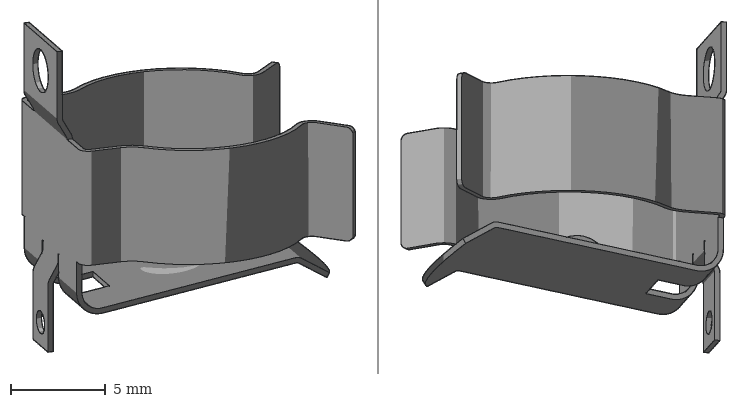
import cadquery as cq
import math

sheet = 0.3
sheet_middle = sheet / 2

band_height = 6.35
band_half_width = 4.8
leg_x = band_half_width - sheet_middle
plate_corner_radius = 0.4
shoulder_radius = 1.85
arm_radius = 6.15
arm_center_x = 0.565
arm_center_y = 7.57
neck_x = 4.17
neck_radius = 0.72
flare_heading = 45
flare_length = 2.13
flare_corner_radius = 0.4

tab_bend_angle = 30
tab_bend_radius = 0.45
tab_slant_length = 0.88
hole_cut_depth = 2

upper_tab_width = 5.08
upper_tab_top = 11.3
upper_hole_diameter = 2.34
upper_hole_z = 9.44

lower_tab_width = 2.3
lower_tab_root = -0.46
lower_tab_root_length = 0.46
lower_tab_bottom = -5.87
lower_hole_diameter = 1.24
lower_hole_z = -4.56
slot_width = 2.5
slot_end_y = 2.85

tongue_width = 8.0
tongue_drop = 1.74
tongue_heel_radius = 1.15
tongue_rise_angle = 8
tongue_length = 10.94
flap_bend_radius = 0.45
flap_fall_angle = 32
flap_length = 2.77
flap_end_radius = 9.0

dome_radius = 1.7
dome_base_radius = 2.05
dome_distance = 5.55


def polar(length, angle):
    return length * math.cos(math.radians(angle)), length * math.sin(math.radians(angle))


def ahead(station, length):
    """Station reached by going straight on; a station is (x, y, heading in degrees)."""
    x, y, heading = station
    step_x, step_y = polar(length, heading)
    return x + step_x, y + step_y, heading


def around(station, radius, turn):
    """Station reached by an arc of the given radius; a positive turn is counter-clockwise."""
    x, y, heading = station
    to_center = heading + math.copysign(90, turn)
    center_x, center_y = ahead((x, y, to_center), radius)[:2]
    back_x, back_y = polar(radius, to_center + turn)
    return center_x - back_x, center_y - back_y, heading + turn


def beside(station, offset):
    """Point at a distance to the left of a station."""
    x, y, heading = station
    return ahead((x, y, heading + 90), offset)[:2]


def travel(start, moves):
    """Stations along a path of (length,) straights and (radius, turn) bends, with each bend's midpoint."""
    stations = [start]
    midpoints = []
    for move in moves:
        if len(move) == 1:
            midpoints.append(None)
            stations.append(ahead(stations[-1], *move))
        else:
            radius, turn = move
            midpoints.append(around(stations[-1], radius, turn / 2))
            stations.append(around(stations[-1], radius, turn))
    return stations, midpoints


def folded_sheet(plane, start, moves):
    """Closed outline of a sheet whose middle follows the path."""
    stations, midpoints = travel(start, moves)
    outline = cq.Workplane(plane).moveTo(*beside(stations[0], sheet_middle))

    def add_side(outline, ends, middles, offset):
        for end, middle in zip(ends, middles):
            if middle is None:
                outline = outline.lineTo(*beside(end, offset))
            else:
                outline = outline.threePointArc(beside(middle, offset), beside(end, offset))
        return outline

    outline = add_side(outline, stations[1:], midpoints, sheet_middle)
    outline = outline.lineTo(*beside(stations[-1], -sheet_middle))
    outline = add_side(outline, stations[-2::-1], midpoints[::-1], -sheet_middle)
    return outline.close()


def clip_band():
    shoulder_reach = arm_radius + shoulder_radius
    shoulder_run = leg_x + shoulder_radius - arm_center_x
    arm_start = math.degrees(math.acos(shoulder_run / shoulder_reach))
    leg_end_y = arm_center_y - math.sqrt(shoulder_reach**2 - shoulder_run**2)
    neck_run = neck_x + neck_radius - arm_center_x
    arm_end = math.degrees(math.acos(neck_run / (arm_radius + neck_radius)))

    moves = [
        (leg_x - plate_corner_radius,),
        (plate_corner_radius, 90),
        (leg_end_y - sheet_middle - plate_corner_radius,),
        (shoulder_radius, -arm_start),
        (arm_radius, arm_start + arm_end),
        (neck_radius, flare_heading - 90 - arm_end),
        (flare_length,),
    ]
    start = (0, sheet_middle, 0)
    flare_tip = travel(start, moves)[0][-1]
    half = folded_sheet("XY", start, moves).extrude(band_height)
    flare_end = half.faces(cq.selectors.NearestToPointSelector((flare_tip[0], flare_tip[1], band_height / 2)))
    half = flare_end.edges("#Z").edges("<Z or >Z").fillet(flare_corner_radius)
    return half.union(half.mirror("YZ"))


def offset_tab(width, root_z, direction, root_length, end_z, hole_z, hole_diameter):
    """Tab running up (direction 1) or down (-1) from the plate, stepped out towards -Y."""
    bend = direction * tab_bend_angle
    start = (sheet_middle, root_z, direction * 90)
    step = [(tab_bend_radius, bend), (tab_slant_length,), (tab_bend_radius, -bend)]
    root = [(root_length,)] if root_length > 0 else []
    step_end_z = travel(start, root + step)[0][-1][1]
    moves = root + step + [(abs(end_z - step_end_z),)]
    tab = folded_sheet("YZ", start, moves).extrude(width / 2, both=True)
    hole = cq.Workplane("XZ").center(0, hole_z).circle(hole_diameter / 2)
    return tab.cut(hole.extrude(hole_cut_depth, both=True))


def station_plane(station):
    """Plane at a station on the sheet middle in YZ: x along the sheet, normal to the sheet's left."""
    y, z, heading = station
    along_y, along_z = polar(1, heading)
    normal_y, normal_z = polar(1, heading + 90)
    return cq.Plane(origin=(0, y, z), xDir=(0, along_y, along_z), normal=(0, normal_y, normal_z))


def flap_end_trim(tip):
    """Material outside the arc that rounds the end of the flap."""
    half_width = tongue_width / 2
    arc_depth = flap_end_radius - math.sqrt(flap_end_radius**2 - half_width**2)
    outline = (
        cq.Workplane(station_plane(tip))
        .moveTo(-arc_depth, -half_width)
        .threePointArc((0, 0), (-arc_depth, half_width))
        .lineTo(sheet, half_width)
        .lineTo(sheet, -half_width)
        .close()
    )
    return outline.extrude(sheet, both=True)


def contact_dome(station):
    """Spherical cap with a concave foot arc that runs smoothly into the upper face of the tongue."""
    foot_radius = (dome_base_radius**2 + sheet_middle**2 - dome_radius**2) / (2 * (dome_radius - sheet_middle))
    foot_center_height = sheet_middle + foot_radius
    foot_angle = math.degrees(math.atan2(foot_center_height, dome_base_radius))
    foot_middle_x, foot_middle_y = polar(foot_radius, (180 + foot_angle + 270) / 2)

    base = station_plane(station)
    section = cq.Plane(origin=base.origin, xDir=(1, 0, 0), normal=-base.xDir)
    outline = (
        cq.Workplane(section)
        .lineTo(dome_base_radius, 0)
        .lineTo(dome_base_radius, sheet_middle)
        .threePointArc(
            (dome_base_radius + foot_middle_x, foot_center_height + foot_middle_y),
            polar(dome_radius, foot_angle),
        )
        .threePointArc(polar(dome_radius, (foot_angle + 90) / 2), (0, dome_radius))
        .close()
    )
    return outline.revolve(360, (0, 0, 0), (0, 1, 0))


def contact_tongue():
    start = (sheet_middle, 0, -90)
    moves = [
        (tongue_drop,),
        (tongue_heel_radius, 90 + tongue_rise_angle),
        (tongue_length,),
        (flap_bend_radius, -tongue_rise_angle - flap_fall_angle),
        (flap_length,),
    ]
    stations = travel(start, moves)[0]
    tongue = folded_sheet("YZ", start, moves).extrude(tongue_width / 2, both=True)
    tongue = tongue.cut(flap_end_trim(stations[-1]))
    slot = cq.Workplane("XY", origin=(0, 0, lower_tab_root)).rect(slot_width, 2 * slot_end_y)
    tongue = tongue.cut(slot.extrude(lower_tab_bottom))
    return tongue.union(contact_dome(ahead(stations[2], dome_distance)))


upper_tab = offset_tab(upper_tab_width, band_height, 1, 0, upper_tab_top, upper_hole_z, upper_hole_diameter)
lower_tab = offset_tab(
    lower_tab_width,
    lower_tab_root,
    -1,
    lower_tab_root_length,
    lower_tab_bottom,
    lower_hole_z,
    lower_hole_diameter,
)
result = clip_band().union(upper_tab).union(contact_tongue()).union(lower_tab).clean()